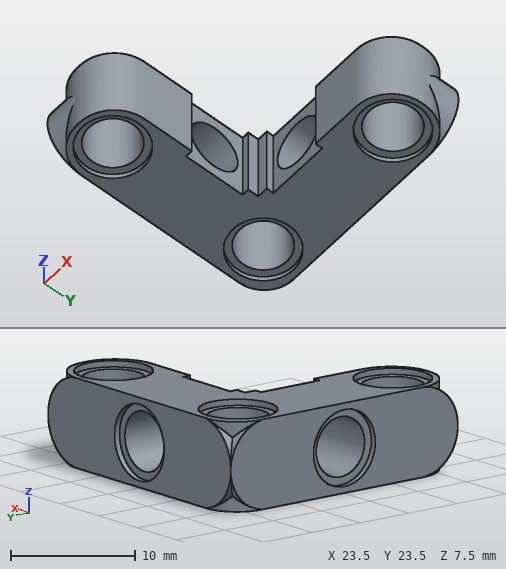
import cadquery as cq

length = 23.5
thickness = 7.5
arm_width = 7.68
hole_pitch = 16.0
hole_diameter = 5.0
rim_diameter = 6.4
rim_depth = 0.52
recess_length = 6.02
recess_depth = 0.7
end_radius = 3.7
corner_radius = 3.05

hole_offset = arm_width / 2
middle = length / 2
mid_height = thickness / 2


def l_plate():
    """L-shaped plate with rounded arm ends and a rounded outer corner."""
    plate = (
        cq.Workplane("XY")
        .polyline([
            (0, 0),
            (length, 0),
            (length, arm_width),
            (arm_width, arm_width),
            (arm_width, length),
            (0, length),
        ])
        .close()
        .extrude(thickness)
    )
    plate = plate.edges("|Z and (>X or >Y)").fillet(end_radius)
    return plate.edges(cq.NearestToPointSelector((0, 0, mid_height))).fillet(corner_radius)


def mirror_diagonal(shape):
    """Swap the X and Y directions about the diagonal of the L."""
    return shape.mirror("XZ").rotate((0, 0, 0), (0, 0, 1), 90)


def side_plate():
    """Full-round plate standing on the outer X = 0 face, as deep as the end radius."""
    return (
        cq.Workplane("YZ")
        .center(middle, mid_height)
        .slot2D(length, thickness)
        .extrude(end_radius)
    )


def rimmed_hole(plane, reach, rim_starts):
    """Cutter for a hole at the plane's origin, with a rim sunk from each listed distance."""
    cutter = cq.Workplane(plane).circle(hole_diameter / 2).extrude(reach)
    for start in rim_starts:
        rim = cq.Workplane(plane).workplane(offset=start).circle(rim_diameter / 2).extrude(rim_depth)
        cutter = cutter.union(rim)
    return cutter


body = l_plate().union(side_plate()).union(mirror_diagonal(side_plate()))

cross_plane = cq.Plane(origin=(0, middle, mid_height), xDir=(0, 1, 0), normal=(1, 0, 0))
cross_hole = rimmed_hole(cross_plane, arm_width, [0])
recess = cq.Workplane("XY").box(recess_depth, recess_length, thickness).translate(
    (arm_width - recess_depth / 2, middle, mid_height)
)
for cutter in (cross_hole, recess):
    body = body.cut(cutter).cut(mirror_diagonal(cutter))

far_hole = hole_offset + hole_pitch
for x, y in ((hole_offset, hole_offset), (far_hole, hole_offset), (hole_offset, far_hole)):
    hole_plane = cq.Plane(origin=(x, y, 0), xDir=(1, 0, 0), normal=(0, 0, 1))
    body = body.cut(rimmed_hole(hole_plane, thickness, [0, thickness - rim_depth]))

result = body.mirror("XZ")